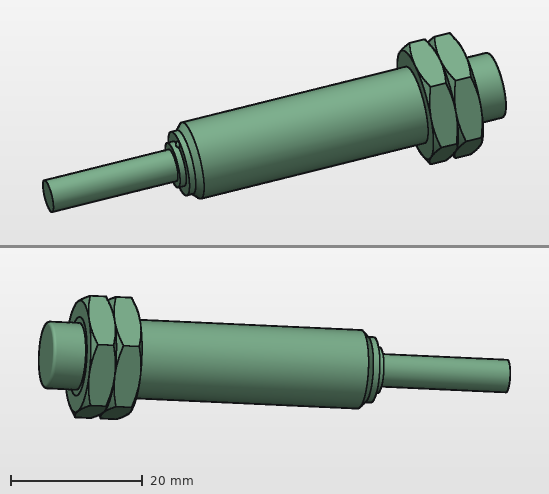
import cadquery as cq
import math


nose_diameter = 10.2
barrel_diameter = 12.0
tail_diameter = 10.0
collar_diameter = 7.0
cable_diameter = 5.0

nose_length = 5.0
barrel_length = 45.0
tail_length = 1.0
collar_length = 1.0
cable_length = 20.0
nose_edge_radius = 0.5
barrel_chamfer = (barrel_diameter - tail_diameter) / 2

lamp_radius = 0.5
lamp_height = (tail_diameter + collar_diameter) / 4

nut_count = 2
nut_thickness = 4.0
nut_across_flats = 17.0
nut_across_corners = nut_across_flats / math.cos(math.radians(30))
nut_face_diameter = nut_across_flats
nut_chamfer_angle = 30.0

nose_end = -nose_length
barrel_end = nose_end - barrel_length
tail_end = barrel_end - tail_length


def cylinder_toward_cable(start_y, diameter, length):
    """Cylinder on the sensor axis that starts at start_y and runs toward -Y."""
    return cq.Workplane("XZ", origin=(0, start_y, 0)).circle(diameter / 2).extrude(length)


def make_sensor():
    """Sensor with nose, barrel, stepped tail, lamp and cable as one solid."""
    nose = cylinder_toward_cable(0, nose_diameter, nose_length).faces(">Y").edges().fillet(nose_edge_radius)
    barrel = cylinder_toward_cable(nose_end, barrel_diameter, barrel_length)
    barrel = barrel.faces("<Y").edges().chamfer(barrel_chamfer)
    tail = cylinder_toward_cable(barrel_end, tail_diameter, tail_length)
    collar = cylinder_toward_cable(tail_end, collar_diameter, collar_length)
    cable = cylinder_toward_cable(tail_end - collar_length, cable_diameter, cable_length)
    lamp = cq.Workplane("XY").sphere(lamp_radius).translate((0, tail_end, lamp_height))
    return nose.union(barrel).union(tail).union(collar).union(cable).union(lamp)


def make_nut(start_y):
    """Hex nut with corners on +X and -X, both faces chamfered by a cone, bored for the barrel."""
    hexagon = cq.Workplane("XZ", origin=(0, start_y, 0)).polygon(6, nut_across_corners)
    face_radius = nut_face_diameter / 2
    corner_radius = nut_across_corners / 2
    chamfer_depth = (corner_radius - face_radius) * math.tan(math.radians(nut_chamfer_angle))
    end_y = start_y - nut_thickness
    corner_envelope = (
        cq.Workplane("XY")
        .moveTo(0, start_y)
        .lineTo(face_radius, start_y)
        .lineTo(corner_radius, start_y - chamfer_depth)
        .lineTo(corner_radius, end_y + chamfer_depth)
        .lineTo(face_radius, end_y)
        .lineTo(0, end_y)
        .close()
        .revolve(360, (0, 0, 0), (0, 1, 0))
    )
    bore = cylinder_toward_cable(start_y, barrel_diameter, nut_thickness)
    return hexagon.extrude(nut_thickness).intersect(corner_envelope).cut(bore)


sensor = make_sensor()
nuts = [make_nut(nose_end - index * nut_thickness) for index in range(nut_count)]

result = cq.Compound.makeCompound([sensor.val(), *[nut.val() for nut in nuts]])